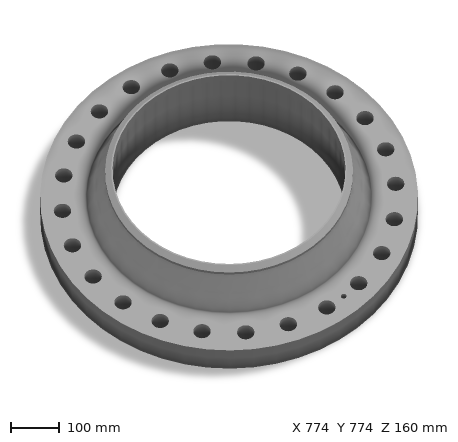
import cadquery as cq
import math

flange_radius = 387.0
flange_thickness = 63.5
total_height = 160.0
bore_radius = 238.5

hub_base_radius = 293.0
hub_root_fillet = 3.0
weld_end_radius = 254.0
weld_land_length = 7.0
weld_bevel_height = 8.5
weld_face_width = 3.0

bolt_count = 24
bolt_circle_radius = 343.0
bolt_hole_diameter = 36.0

small_hole_diameter = 12.0
small_hole_depth = 23.0
drill_point_angle = 118.0

bevel_start = total_height - weld_bevel_height
land_start = bevel_start - weld_land_length
small_hole_angle = math.radians(360 / bolt_count / 2)
small_hole_radius = small_hole_diameter / 2
drill_point_length = small_hole_radius / math.tan(math.radians(drill_point_angle / 2))


def flange_body():
    """Revolve the flange ring, tapered hub and weld end around Z, then round the hub root."""
    body = (
        cq.Workplane("XZ")
        .moveTo(bore_radius, 0)
        .lineTo(flange_radius, 0)
        .lineTo(flange_radius, flange_thickness)
        .lineTo(hub_base_radius, flange_thickness)
        .lineTo(weld_end_radius, land_start)
        .lineTo(weld_end_radius, bevel_start)
        .lineTo(bore_radius + weld_face_width, total_height)
        .lineTo(bore_radius, total_height)
        .close()
        .revolve(360, (0, 0, 0), (0, 1, 0))
    )
    second_largest_edge = cq.selectors.RadiusNthSelector(-2)
    return body.edges(second_largest_edge).fillet(hub_root_fillet)


def bolt_holes():
    """Evenly spaced cylinders that pass through the flange ring."""
    return (
        cq.Workplane("XY")
        .polarArray(bolt_circle_radius, 0, 360, bolt_count)
        .circle(bolt_hole_diameter / 2)
        .extrude(flange_thickness)
    )


def small_hole():
    """Blind hole with a conical drill point, sunk into the upper face of the flange ring."""
    center = (
        bolt_circle_radius * math.cos(small_hole_angle),
        bolt_circle_radius * math.sin(small_hole_angle),
        flange_thickness,
    )
    return (
        cq.Workplane("XZ", origin=center)
        .moveTo(0, 0)
        .lineTo(small_hole_radius, 0)
        .lineTo(small_hole_radius, -small_hole_depth)
        .lineTo(0, -small_hole_depth - drill_point_length)
        .close()
        .revolve(360, (0, 0, 0), (0, 1, 0))
    )


result = flange_body().cut(bolt_holes()).cut(small_hole())